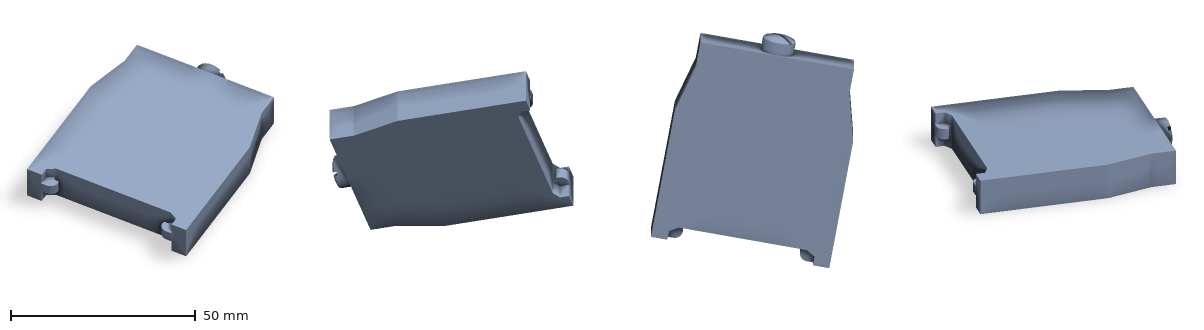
import cadquery as cq
import math

THICKNESS = 10.0
WIDTH = 49.0
LENGTH = 55.9
BACK_WIDTH = 42.2
TAPER_START = 36.0
TAPER_END = 49.0
BACK_RISE = 0.34
HEIGHT = THICKNESS + BACK_RISE

RECESS_WIDTH = 40.0
RECESS_DEPTH = 3.9
CORNER_WIDTH = 2.4
CORNER_ANGLE_DEG = 30
CORNER_DEPTH = CORNER_WIDTH * math.tan(math.radians(CORNER_ANGLE_DEG))

HOOK_BOTTOM = 3.8
HOOK_HEIGHT = 3.05
HOOK_ROOT = 20.4
HOOK_FLAT_OUTER = 19.75
HOOK_FLAT_INNER = 18.2
HOOK_TIP = 16.1
HOOK_PROUD = 0.2
HOOK_HEEL_BULGE = 0.05
HOOK_TIP_Y = 2.2
HOOK_TOP_Y = 2.8
HOOK_TOP_ROUND = 0.6
HOOK_NECK = 17.65
HOOK_NECK_TOP = 18.1

BUTTON_RADIUS = 4.5
BUTTON_Z = BACK_RISE + THICKNESS / 2
BUTTON_HEIGHT = 4.6
DOME_RADIUS = 10.0
SHOULDER_RADIUS = 0.5
BUTTON_ROOT = 0.5
SLOT_WIDTH = 1.2
SLOT_FLOOR = 2.8
SLOT_ANGLE_DEG = 45


def make_housing():
    half = WIDTH / 2
    back_half = BACK_WIDTH / 2
    recess_half = RECESS_WIDTH / 2
    right_side = [
        (recess_half - CORNER_WIDTH, RECESS_DEPTH),
        (recess_half, RECESS_DEPTH - CORNER_DEPTH),
        (recess_half, 0),
        (half, 0),
        (half, TAPER_START),
        (back_half, TAPER_END),
        (back_half, LENGTH),
    ]
    left_side = [(-x, y) for x, y in reversed(right_side)]
    outline = cq.Workplane("XY").polyline(right_side + left_side).close().extrude(HEIGHT)
    side_profile = [(0, 0), (LENGTH, BACK_RISE), (LENGTH, HEIGHT), (0, THICKNESS)]
    sloped_slab = cq.Workplane("YZ").polyline(side_profile).close().extrude(half, both=True)
    return outline.intersect(sloped_slab)


def make_right_hook():
    diagonal = math.sqrt(0.5)
    heel_mid = (
        (HOOK_ROOT + HOOK_FLAT_OUTER) / 2 + HOOK_HEEL_BULGE,
        -HOOK_PROUD / 2 - HOOK_HEEL_BULGE,
    )
    nose_mid = (
        HOOK_FLAT_INNER - (HOOK_FLAT_INNER - HOOK_TIP) * diagonal,
        HOOK_TIP_Y - (HOOK_TIP_Y + HOOK_PROUD) * diagonal,
    )
    round_mid = (
        HOOK_TIP + HOOK_TOP_ROUND * (1 - diagonal),
        HOOK_TIP_Y + HOOK_TOP_ROUND * diagonal,
    )
    return (
        cq.Workplane("XY", origin=(0, 0, HOOK_BOTTOM))
        .moveTo(HOOK_ROOT, 0)
        .threePointArc(heel_mid, (HOOK_FLAT_OUTER, -HOOK_PROUD))
        .lineTo(HOOK_FLAT_INNER, -HOOK_PROUD)
        .threePointArc(nose_mid, (HOOK_TIP, HOOK_TIP_Y))
        .threePointArc(round_mid, (HOOK_TIP + HOOK_TOP_ROUND, HOOK_TOP_Y))
        .lineTo(HOOK_NECK, HOOK_TOP_Y)
        .lineTo(HOOK_NECK_TOP, RECESS_DEPTH)
        .lineTo(HOOK_ROOT, RECESS_DEPTH)
        .close()
        .extrude(HOOK_HEIGHT)
    )


def make_button():
    dome_center = BUTTON_HEIGHT - DOME_RADIUS
    shoulder_center = BUTTON_RADIUS - SHOULDER_RADIUS
    tangent_angle = math.acos(shoulder_center / (DOME_RADIUS - SHOULDER_RADIUS))
    side_top = dome_center + (DOME_RADIUS - SHOULDER_RADIUS) * math.sin(tangent_angle)
    dome_mid_angle = (tangent_angle + math.pi / 2) / 2

    def dome_point(angle):
        return (DOME_RADIUS * math.cos(angle), dome_center + DOME_RADIUS * math.sin(angle))

    shoulder_mid = (
        shoulder_center + SHOULDER_RADIUS * math.cos(tangent_angle / 2),
        side_top + SHOULDER_RADIUS * math.sin(tangent_angle / 2),
    )
    body = (
        cq.Workplane("XY")
        .moveTo(0, -BUTTON_ROOT)
        .lineTo(BUTTON_RADIUS, -BUTTON_ROOT)
        .lineTo(BUTTON_RADIUS, side_top)
        .threePointArc(shoulder_mid, dome_point(tangent_angle))
        .threePointArc(dome_point(dome_mid_angle), (0, BUTTON_HEIGHT))
        .close()
        .revolve(360, (0, 0), (0, 1))
    )
    slot_length = 3 * BUTTON_RADIUS
    slot = (
        cq.Workplane("XZ", origin=(0, SLOT_FLOOR, 0))
        .transformed(rotate=(0, 0, SLOT_ANGLE_DEG))
        .rect(slot_length, SLOT_WIDTH)
        .extrude(-BUTTON_HEIGHT)
    )
    return body.cut(slot).translate((0, LENGTH, BUTTON_Z))


right_hook = make_right_hook()
left_hook = right_hook.mirror("YZ")
result = make_housing().union(right_hook).union(left_hook).union(make_button())